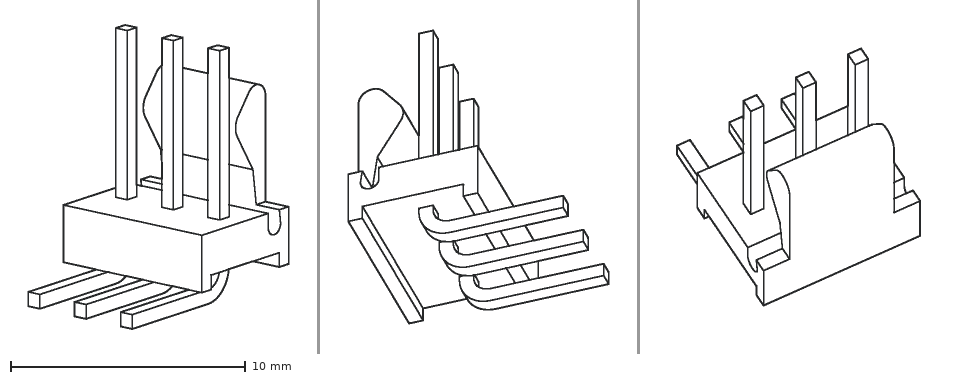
import cadquery as cq
import math


pin_count = 3
pitch = 2.54
pin_side = 0.64
pin_depth = 3.18
pin_reach = 9.4
overall_height = 11.05
pin_bottom = -1.02
pin_top = pin_bottom + overall_height
bend_inner_radius = 0.78

base_width = pin_count * pitch
base_depth = 5.87
base_height = 2.54
foot_depth = 0.64
foot_height = 0.64

slot_radius = 0.42
slot_center = (0.97, 1.93)
slot_back = slot_center[0] - slot_radius
slot_front = slot_center[0] + slot_radius
slot_bottom = slot_center[1] - slot_radius

ramp_width = 2 * pitch
crown_radius = 0.64
nose_radius = 0.78
crown_center = (crown_radius, 7.22)
nose_center = (1.25, 6.23)
neck = (0.86, 4.14)


def side_sketch():
    """Workplane on the YZ mid-plane with local x = depth and local y = height."""
    return cq.Workplane(cq.Plane(origin=(0, 0, 0), xDir=(0, -1, 0), normal=(-1, 0, 0)))


def on_round(center, radius, angle):
    """Point on a round at the given angle, in radians."""
    return (
        center[0] + radius * math.cos(angle),
        center[1] + radius * math.sin(angle),
    )


def make_body_profile():
    """Full side profile, extruded to the width of the base."""
    slope = math.atan2(nose_center[1] - crown_center[1], nose_center[0] - crown_center[0])
    center_distance = math.dist(crown_center, nose_center)
    upper_tangent = slope + math.acos((crown_radius - nose_radius) / center_distance)

    neck_direction = math.atan2(neck[1] - nose_center[1], neck[0] - nose_center[0])
    neck_distance = math.dist(neck, nose_center)
    lower_tangent = neck_direction + math.acos(nose_radius / neck_distance)

    nose_tip = on_round(nose_center, nose_radius, 0)
    crown_top = on_round(crown_center, crown_radius, math.pi / 2)

    return (
        side_sketch()
        .moveTo(0, 0)
        .lineTo(foot_depth, 0)
        .lineTo(foot_depth, foot_height)
        .lineTo(base_depth - foot_depth, foot_height)
        .lineTo(base_depth - foot_depth, 0)
        .lineTo(base_depth, 0)
        .lineTo(base_depth, base_height)
        .lineTo(slot_front, base_height)
        .lineTo(slot_front, slot_center[1])
        .threePointArc((slot_center[0], slot_bottom), (slot_back, slot_center[1]))
        .lineTo(*neck)
        .lineTo(*on_round(nose_center, nose_radius, lower_tangent))
        .threePointArc(nose_tip, on_round(nose_center, nose_radius, upper_tangent))
        .lineTo(*on_round(crown_center, crown_radius, upper_tangent))
        .threePointArc(crown_top, (0, crown_center[1]))
        .close()
        .extrude(base_width / 2, both=True)
    )


def make_body():
    """Base and locking ramp, with the ramp narrowed above the base."""
    body = make_body_profile()
    side_width = (base_width - ramp_width) / 2
    for side in (-1, 1):
        side_clearance = (
            cq.Workplane("XY")
            .box(side_width, base_depth, pin_top, centered=(True, True, False))
            .translate((side * (ramp_width + side_width) / 2, -base_depth / 2, base_height))
        )
        body = body.cut(side_clearance)
    return body


def make_pin(x):
    """Square pin bent forward below the base."""
    pin_back = pin_depth - pin_side / 2
    pin_front = pin_depth + pin_side / 2
    tail_top = pin_bottom + pin_side
    bend_outer_radius = bend_inner_radius + pin_side
    bend_center = (pin_front + bend_inner_radius, tail_top + bend_inner_radius)
    diagonal = math.sqrt(0.5)

    def bend_middle(radius):
        return (bend_center[0] - radius * diagonal, bend_center[1] - radius * diagonal)

    return (
        side_sketch()
        .moveTo(pin_back, pin_top)
        .lineTo(pin_back, bend_center[1])
        .threePointArc(bend_middle(bend_outer_radius), (bend_center[0], pin_bottom))
        .lineTo(pin_reach, pin_bottom)
        .lineTo(pin_reach, tail_top)
        .lineTo(bend_center[0], tail_top)
        .threePointArc(bend_middle(bend_inner_radius), (pin_front, bend_center[1]))
        .lineTo(pin_front, pin_top)
        .close()
        .extrude(pin_side / 2, both=True)
        .translate((x, 0, 0))
    )


result = make_body()
for index in range(pin_count):
    result = result.union(make_pin((index - (pin_count - 1) / 2) * pitch))